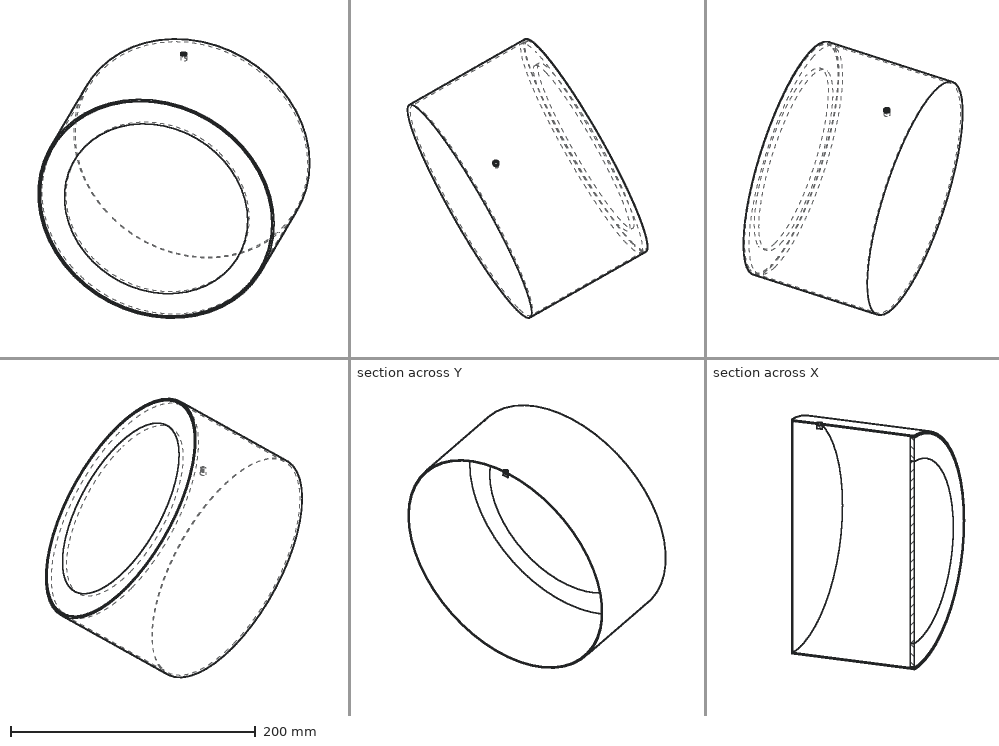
import cadquery as cq
import math

outer_diameter = 200.0
outer_radius = outer_diameter / 2
depth = 110.0
wall = 1.5
inner_radius = outer_radius - wall
front_y = -depth / 2
back_y = depth / 2

ring_gap = 0.5
ring_outer_radius = inner_radius - ring_gap
window_radius = 77.5
cover_thickness = 4.0

screw_from_back = 25.0
screw_y = back_y - screw_from_back
screw_diameter = 5.0
screw_radius = screw_diameter / 2
screw_length = 5.0
screw_recess = 0.2
screw_chamfer = 0.5
screw_top_z = outer_radius - screw_recess
socket_across_flats = screw_diameter / 2
socket_depth = 2.0


def front_disc(radius, length):
    """Disc on the Y axis that starts at the front end and extends backwards."""
    return cq.Workplane("XZ", origin=(0, front_y, 0)).circle(radius).extrude(-length)


def make_housing():
    cup = front_disc(outer_radius, depth).cut(front_disc(inner_radius, depth - wall))
    screw_hole = cq.Workplane("XY", origin=(0, screw_y, 0)).circle(screw_radius).extrude(outer_radius)
    return cup.cut(screw_hole)


def make_trim_ring():
    return front_disc(ring_outer_radius, cover_thickness).cut(front_disc(window_radius, cover_thickness))


def make_window():
    return front_disc(window_radius, cover_thickness)


def make_set_screw():
    """Headless screw with a chamfered top edge and a hexagonal socket."""
    top = cq.Workplane("XY", origin=(0, screw_y, screw_top_z))
    body = top.circle(screw_radius).extrude(-screw_length).faces(">Z").chamfer(screw_chamfer)
    socket_across_corners = socket_across_flats / math.cos(math.pi / 6)
    socket = top.polygon(6, socket_across_corners).extrude(-socket_depth)
    return body.cut(socket)


housing = make_housing()
trim_ring = make_trim_ring()
window = make_window()
set_screw = make_set_screw()

result = cq.Compound.makeCompound([
    housing.solids().val(),
    trim_ring.solids().val(),
    window.solids().val(),
    set_screw.solids().val(),
])